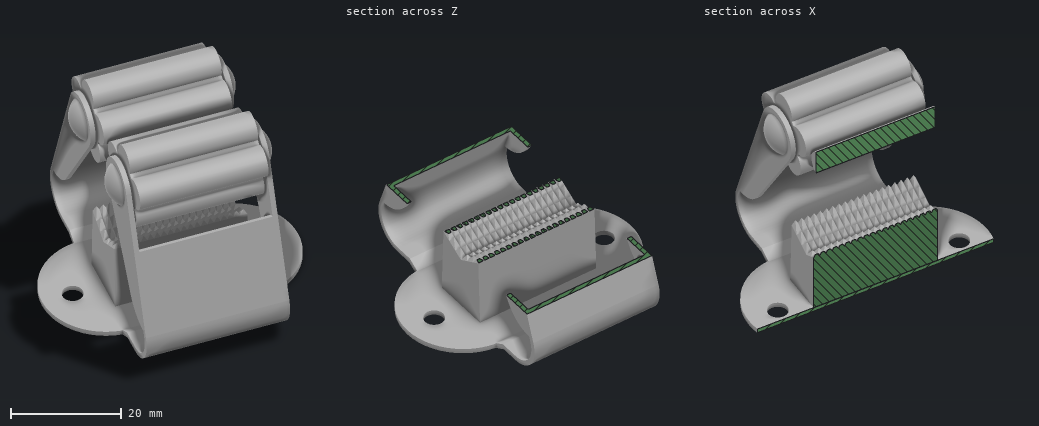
import cadquery as cq
import math


sheet = 1.0
overall_width = 48.85
strap_width = 27.95

plate_length = 49.9
plate_width = 24.95
plate_hole_diameter = 4.0
plate_hole_spacing = 37.95

strap_lift = 1.35
joggle_angle = 30.0
bend_radius = 6.0
bend_x = overall_width / 2 - bend_radius
bend_z = strap_lift + bend_radius
wall_top_z = 25.45

axle_x = 9.2
axle_z = 34.7
ear_radius = 5.3
heel_radius = 7.55
heel_x = 22.7
heel_z = 17.6

roller_length = 24.95
lobe_count = 5
lobe_radius = 3.0
lobe_circle_radius = 5.5
core_radius = 5.5

pin_diameter = 3.0
head_diameter = 8.0
head_height = 2.0

block_length = 25.95
block_base_width = 12.0
block_top_width = 10.9
block_valley_z = 11.9
block_edge_z = 14.85
tooth_rows = 20
teeth_per_side = 3
first_apex_x = 1.1
first_apex_z = 13.65
apex_pitch_x = 2.05
apex_pitch_z = 1.2


def point_on_circle(centre, radius, angle):
    """Point at an angle in degrees, measured from +X towards +Z."""
    a = math.radians(angle)
    return (centre[0] + radius * math.cos(a), centre[1] + radius * math.sin(a))


def tangent_angle(lower, lower_radius, upper, upper_radius, side):
    """Angle of the contact points of the outer tangent to two circles.

    side is +1 for the tangent on the right of the line from lower to upper, -1 for the left.
    """
    dx = upper[0] - lower[0]
    dz = upper[1] - lower[1]
    along = math.degrees(math.atan2(dz, dx))
    spread = math.degrees(math.acos((lower_radius - upper_radius) / math.hypot(dx, dz)))
    return along - side * spread


bend_centre = (-bend_x, bend_z)
ear_centre = (-axle_x, axle_z)
heel_centre = (-heel_x, heel_z)

wall_angle = tangent_angle(bend_centre, bend_radius, ear_centre, ear_radius, -1)
wall_lean = math.radians(180 - wall_angle)
wall_foot_outer = point_on_circle(bend_centre, bend_radius, wall_angle)
wall_foot_inner = point_on_circle(bend_centre, bend_radius - sheet, wall_angle)


def point_on_wall(foot, z):
    """Point at height z on the face of the arm wall that rises from foot."""
    return (foot[0] + (z - foot[1]) * math.tan(wall_lean), z)


def make_plate():
    plate = cq.Workplane("XY").slot2D(plate_length, plate_width, 90).extrude(sheet)
    holes = (
        cq.Workplane("XY")
        .pushPoints([(0, -plate_hole_spacing / 2), (0, plate_hole_spacing / 2)])
        .circle(plate_hole_diameter / 2)
        .extrude(sheet)
    )
    return plate.cut(holes)


def make_strap():
    """Joggle, bend and wall of the -X arm, with a flat foot that merges into the plate."""
    foot_x = -plate_width / 2
    step_x = foot_x - strap_lift / math.tan(math.radians(joggle_angle))
    joggle_shift = sheet * math.tan(math.radians(joggle_angle / 2))
    mid_bend_angle = (wall_angle + 270) / 2
    wall_top_outer = point_on_wall(wall_foot_outer, wall_top_z)
    wall_top_inner = point_on_circle(wall_top_outer, -sheet, wall_angle)
    return (
        cq.Workplane("XZ")
        .moveTo(0, 0)
        .lineTo(foot_x, 0)
        .lineTo(step_x, strap_lift)
        .lineTo(-bend_x, strap_lift)
        .threePointArc(point_on_circle(bend_centre, bend_radius, mid_bend_angle), wall_foot_outer)
        .lineTo(*wall_top_outer)
        .lineTo(*wall_top_inner)
        .lineTo(*wall_foot_inner)
        .threePointArc(
            point_on_circle(bend_centre, bend_radius - sheet, mid_bend_angle),
            (-bend_x, strap_lift + sheet),
        )
        .lineTo(step_x + joggle_shift, strap_lift + sheet)
        .lineTo(foot_x + joggle_shift, sheet)
        .lineTo(0, sheet)
        .close()
        .extrude(strap_width / 2, both=True)
    )


def make_cheeks():
    """Two side plates of the -X arm, rounded around the axle and at the heel."""
    front_angle = tangent_angle(heel_centre, heel_radius, ear_centre, ear_radius, 1)
    heel_bottom = point_on_wall(wall_foot_inner, heel_z - heel_radius)
    outline = (
        cq.Workplane("XZ", origin=(0, strap_width / 2, 0))
        .moveTo(*wall_foot_outer)
        .lineTo(*point_on_circle(ear_centre, ear_radius, wall_angle))
        .threePointArc(
            point_on_circle(ear_centre, ear_radius, (wall_angle + front_angle) / 2),
            point_on_circle(ear_centre, ear_radius, front_angle),
        )
        .lineTo(*point_on_circle(heel_centre, heel_radius, front_angle))
        .threePointArc(
            point_on_circle(heel_centre, heel_radius, (front_angle - 90) / 2),
            heel_bottom,
        )
        .close()
    )
    back = outline.extrude(sheet)
    return back.union(back.mirror("XZ"))


def axle_cylinder(x, diameter, length):
    """Cylinder along Y at axle height, centred on Y = 0."""
    return (
        cq.Workplane("XZ", origin=(x, 0, axle_z))
        .circle(diameter / 2)
        .extrude(length / 2, both=True)
    )


def make_clip():
    arm = make_strap().union(make_cheeks())
    arm = arm.cut(axle_cylinder(-axle_x, pin_diameter, strap_width))
    return make_plate().union(arm).union(arm.mirror("YZ"))


def make_roller(x):
    roller = axle_cylinder(x, 2 * core_radius, roller_length)
    lobes = (
        cq.Workplane("XZ", origin=(x, 0, axle_z))
        .polarArray(lobe_circle_radius, 90, 360, lobe_count)
        .circle(lobe_radius)
        .extrude(roller_length / 2, both=True)
    )
    return roller.union(lobes).cut(axle_cylinder(x, pin_diameter, roller_length))


def make_pin(x):
    """Shank with a domed head at each end, turned about the axle."""
    shank_radius = pin_diameter / 2
    head_radius = head_diameter / 2
    face_y = strap_width / 2
    tip_y = face_y + head_height
    dome_radius = (head_radius**2 + head_height**2) / (2 * head_height)
    half_angle = math.asin(head_radius / dome_radius) / 2
    dome_x = dome_radius * math.sin(half_angle)
    dome_y = tip_y - dome_radius * (1 - math.cos(half_angle))
    return (
        cq.Workplane("XY", origin=(x, 0, axle_z))
        .moveTo(0, -tip_y)
        .threePointArc((dome_x, -dome_y), (head_radius, -face_y))
        .lineTo(shank_radius, -face_y)
        .lineTo(shank_radius, face_y)
        .lineTo(head_radius, face_y)
        .threePointArc((dome_x, dome_y), (0, tip_y))
        .close()
        .revolve(360, (0, 0, 0), (0, 1, 0))
    )


def make_tooth(base, apex):
    """Four-sided pyramid on the four base corners, given in order."""
    corners = [cq.Vector(*p) for p in base]
    tip = cq.Vector(*apex)
    loops = [corners]
    for i in range(4):
        loops.append([corners[i], corners[(i + 1) % 4], tip])
    faces = [cq.Face.makeFromWires(cq.Wire.makePolygon(loop, close=True)) for loop in loops]
    return cq.Solid.makeSolid(cq.Shell.makeShell(faces))


def make_block():
    """Tapered block with a V-shaped top that is covered with leaning teeth."""
    body = (
        cq.Workplane("XZ")
        .polyline([
            (-block_base_width / 2, sheet),
            (block_base_width / 2, sheet),
            (block_top_width / 2, block_edge_z),
            (0, block_valley_z),
            (-block_top_width / 2, block_edge_z),
        ])
        .close()
        .extrude(block_length / 2, both=True)
    )
    pitch_x = block_top_width / 2 / teeth_per_side
    pitch_y = block_length / tooth_rows
    pitch_z = (block_edge_z - block_valley_z) / teeth_per_side
    teeth = []
    for side in (-1, 1):
        for step in range(teeth_per_side):
            x0 = side * pitch_x * step
            x1 = side * pitch_x * (step + 1)
            z0 = block_valley_z + pitch_z * step
            z1 = z0 + pitch_z
            apex_x = side * (first_apex_x + apex_pitch_x * step)
            apex_z = first_apex_z + apex_pitch_z * step
            for row in range(tooth_rows):
                y0 = -block_length / 2 + pitch_y * row
                y1 = y0 + pitch_y
                base = [(x0, y0, z0), (x1, y0, z1), (x1, y1, z1), (x0, y1, z0)]
                teeth.append(make_tooth(base, (apex_x, (y0 + y1) / 2, apex_z)))
    return cq.Workplane(body.val().fuse(*teeth))


clip = make_clip()
block = make_block()
rollers = []
pins = []
for axle_position in (-axle_x, axle_x):
    rollers.append(make_roller(axle_position).solids().val())
    pins.append(make_pin(axle_position).solids().val())

result = cq.Compound.makeCompound([clip.solids().val(), block.solids().val(), *rollers, *pins])